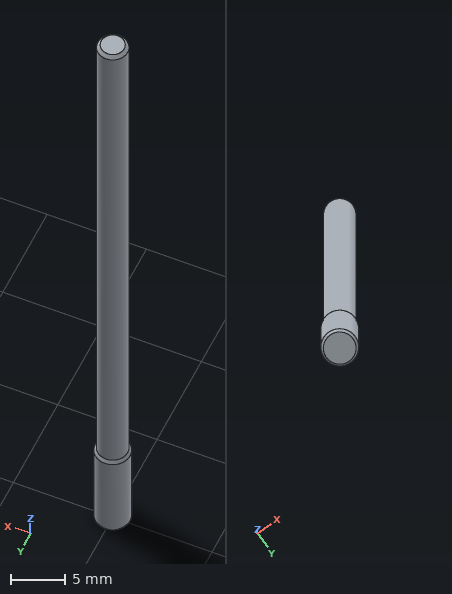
import cadquery as cq

rod_length = 70.0
rod_diameter = 3.0
rod_tip_chamfer = 0.35
sleeve_diameter = 3.5
sleeve_length = 10.35
sleeve_taper_height = 0.35

rod_radius = rod_diameter / 2
sleeve_radius = sleeve_diameter / 2


def make_rod():
    """Straight round rod standing on Z = 0, with a chamfered upper end."""
    return (
        cq.Workplane("XY")
        .circle(rod_radius)
        .extrude(rod_length)
        .faces(">Z")
        .chamfer(rod_tip_chamfer)
    )


def make_sleeve():
    """Sleeve around the foot of the rod; both ends taper down to the rod surface."""
    profile = [
        (rod_radius, 0),
        (sleeve_radius, sleeve_taper_height),
        (sleeve_radius, sleeve_length - sleeve_taper_height),
        (rod_radius, sleeve_length),
    ]
    return cq.Workplane("XZ").polyline(profile).close().revolve(360, (0, 0, 0), (0, 1, 0))


rod = make_rod()
sleeve = make_sleeve()

result = cq.Compound.makeCompound([rod.val(), sleeve.val()])